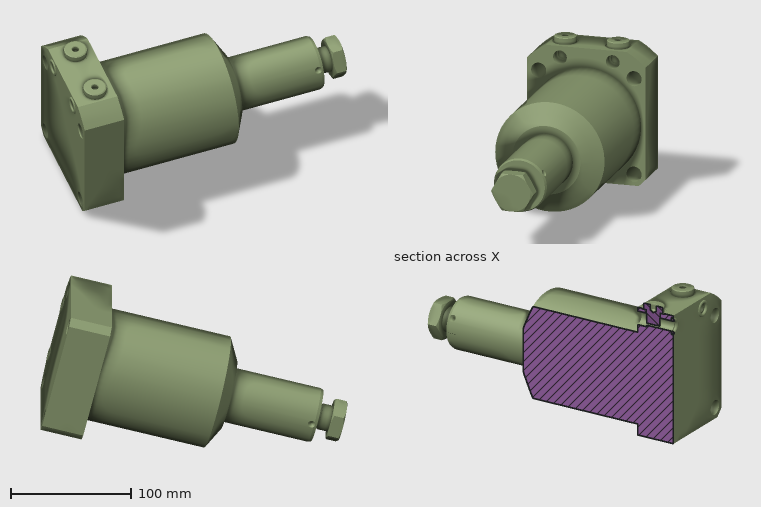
import cadquery as cq
import math


overall_length = 246.8

flange_width = 103.0
flange_half = flange_width / 2
flange_height = 115.5
flange_top = flange_height - flange_half
flange_thickness = 35.0
top_corner_radius = 73.0
bottom_chamfer = 6.0
bolt_hole_diameter = 13.0
bolt_hole_spacing = 83.0

port_spacing = 46.0
port_z = 54.3
port_bore_diameter = 9.0
rear_port_diameter = 11.8
seal_section_diameter = 3.0
seal_outer_diameter = 14.5
seal_protrusion = 1.0

plug_y = 19.7
spotface_diameter = 21.7
spotface_depth = 0.5
plug_head_diameter = 19.0
plug_head_height = 5.2
plug_chamfer_width = 1.0
plug_chamfer_height = 0.5
plug_shank_diameter = 13.0
plug_shank_end_z = 51.3
plug_socket_diameter = 5.7
plug_socket_depth = 5.0
plug_socket_chamfer = 0.5
drill_tip_angle = 118.0

barrel_diameter = 95.0
barrel_end_y = 138.2
cone_end_y = 148.0
cone_end_diameter = 59.2

neck_diameter = 46.0
neck_end_y = 223.8
neck_chamfer_length = 2.5
neck_chamfer_depth = 1.0
spanner_hole_diameter = 6.2
spanner_hole_depth = 3.7
spanner_hole_y = 219.0
spanner_hole_angles = (30, 150, 270)

thread_diameter = 20.5
shank_diameter = 22.0
shank_start_y = 226.3
hex_start_y = 235.0
hex_end_y = overall_length - seal_protrusion
hex_across_flats = 32.0
hex_corner_diameter = hex_across_flats / math.cos(math.radians(30))
hex_chamfer_angle = 30.0

port_xs = (-port_spacing / 2, port_spacing / 2)


def along_y(x, z, start_y, end_y, diameter):
    """Cylinder parallel to the Y axis."""
    start = cq.Vector(x, start_y, z)
    return cq.Workplane(cq.Solid.makeCylinder(diameter / 2, end_y - start_y, start, cq.Vector(0, 1, 0)))


def make_flange():
    """Plate with chamfered bottom corners and top corners rounded about the axis."""
    corner_z = math.sqrt(top_corner_radius**2 - flange_half**2)
    top_half = math.sqrt(top_corner_radius**2 - flange_top**2)
    middle_angle = (math.atan2(corner_z, flange_half) + math.atan2(flange_top, top_half)) / 2
    arc_x = top_corner_radius * math.cos(middle_angle)
    arc_z = top_corner_radius * math.sin(middle_angle)
    plate = (
        cq.Workplane("XZ")
        .moveTo(bottom_chamfer - flange_half, -flange_half)
        .lineTo(flange_half - bottom_chamfer, -flange_half)
        .lineTo(flange_half, bottom_chamfer - flange_half)
        .lineTo(flange_half, corner_z)
        .threePointArc((arc_x, arc_z), (top_half, flange_top))
        .lineTo(-top_half, flange_top)
        .threePointArc((-arc_x, arc_z), (-flange_half, corner_z))
        .lineTo(-flange_half, bottom_chamfer - flange_half)
        .close()
        .extrude(-flange_thickness)
    )
    for x in (-bolt_hole_spacing / 2, bolt_hole_spacing / 2):
        for z in (-bolt_hole_spacing / 2, bolt_hole_spacing / 2):
            plate = plate.cut(along_y(x, z, 0, flange_thickness, bolt_hole_diameter))
    return plate


def make_barrel_and_neck():
    """Barrel, cone, neck and bolt shank as one turned profile."""
    profile = [
        (0, 0),
        (barrel_diameter / 2, 0),
        (barrel_diameter / 2, barrel_end_y),
        (cone_end_diameter / 2, cone_end_y),
        (neck_diameter / 2, cone_end_y),
        (neck_diameter / 2, neck_end_y - neck_chamfer_length),
        (neck_diameter / 2 - neck_chamfer_depth, neck_end_y),
        (thread_diameter / 2, neck_end_y),
        (thread_diameter / 2, shank_start_y),
        (shank_diameter / 2, shank_start_y),
        (shank_diameter / 2, hex_start_y),
        (0, hex_start_y),
    ]
    turned = cq.Workplane("XY").polyline(profile).close().revolve(360, (0, 0, 0), (0, 1, 0))
    for angle in spanner_hole_angles:
        outward = cq.Vector(math.cos(math.radians(angle)), 0, math.sin(math.radians(angle)))
        tip = outward * (neck_diameter / 2 - spanner_hole_depth) + cq.Vector(0, spanner_hole_y, 0)
        hole = cq.Solid.makeCone(0, spanner_hole_diameter, 2 * spanner_hole_depth, tip, outward)
        turned = turned.cut(cq.Workplane(hole))
    return turned


def make_hex_head():
    """Hexagon with corners on the X axis, its corners turned off at both ends."""
    corner_radius = hex_corner_diameter / 2
    flat_radius = hex_across_flats / 2
    chamfer = (corner_radius - flat_radius) * math.tan(math.radians(hex_chamfer_angle))
    prism = (
        cq.Workplane("XZ", origin=(0, hex_start_y, 0))
        .polygon(6, hex_corner_diameter)
        .extrude(hex_start_y - hex_end_y)
    )
    turned_outline = [
        (0, hex_start_y),
        (flat_radius, hex_start_y),
        (corner_radius, hex_start_y + chamfer),
        (corner_radius, hex_end_y - chamfer),
        (flat_radius, hex_end_y),
        (0, hex_end_y),
    ]
    envelope = cq.Workplane("XY").polyline(turned_outline).close().revolve(360, (0, 0, 0), (0, 1, 0))
    return prism.intersect(envelope)


def make_plug(x):
    """Turned plug with a chamfered head, a round shank and a drilled socket."""
    seat_z = flange_top - spotface_depth
    head_top_z = flange_top + plug_head_height
    socket_radius = plug_socket_diameter / 2
    socket_floor_z = head_top_z - plug_socket_depth
    tip_z = socket_floor_z - socket_radius / math.tan(math.radians(drill_tip_angle / 2))
    profile = [
        (0, plug_shank_end_z),
        (plug_shank_diameter / 2, plug_shank_end_z),
        (plug_shank_diameter / 2, seat_z),
        (plug_head_diameter / 2, seat_z),
        (plug_head_diameter / 2, head_top_z - plug_chamfer_height),
        (plug_head_diameter / 2 - plug_chamfer_width, head_top_z),
        (socket_radius + plug_socket_chamfer, head_top_z),
        (socket_radius, head_top_z - plug_socket_chamfer),
        (socket_radius, socket_floor_z),
        (0, tip_z),
    ]
    plug = cq.Workplane("XZ").polyline(profile).close().revolve(360, (0, 0, 0), (0, 1, 0))
    return plug.translate((x, plug_y, 0))


def make_seal(x):
    """O-ring around the mouth of a port."""
    section_radius = seal_section_diameter / 2
    ring_radius = seal_outer_diameter / 2 - section_radius
    centre = cq.Vector(x, section_radius - seal_protrusion, port_z)
    return cq.Workplane(cq.Solid.makeTorus(ring_radius, section_radius, centre, cq.Vector(0, 1, 0)))


def cut_port(body, x):
    """Through bore with a seal counterbore and a wider rear end, crossed by the plug hole from above."""
    seal_seat_depth = seal_section_diameter - seal_protrusion
    body = body.cut(along_y(x, port_z, 0, flange_thickness, port_bore_diameter))
    body = body.cut(along_y(x, port_z, 0, seal_seat_depth, seal_outer_diameter))
    rear_port_start_y = plug_y + plug_shank_diameter / 2
    body = body.cut(along_y(x, port_z, rear_port_start_y, flange_thickness, rear_port_diameter))
    spotface = (
        cq.Workplane(origin=(x, plug_y, flange_top))
        .circle(spotface_diameter / 2)
        .extrude(-spotface_depth)
    )
    plug_hole = (
        cq.Workplane(origin=(x, plug_y, plug_shank_end_z))
        .circle(plug_shank_diameter / 2)
        .extrude(flange_top - plug_shank_end_z)
    )
    return body.cut(spotface).cut(plug_hole)


cylinder = make_flange().union(make_barrel_and_neck()).union(make_hex_head())
for port_x in port_xs:
    cylinder = cut_port(cylinder, port_x)
plugs = [make_plug(x) for x in port_xs]
seals = [make_seal(x) for x in port_xs]

result = cq.Compound.makeCompound(
    [cylinder.val(), *[plug.val() for plug in plugs], *[seal.val() for seal in seals]]
)